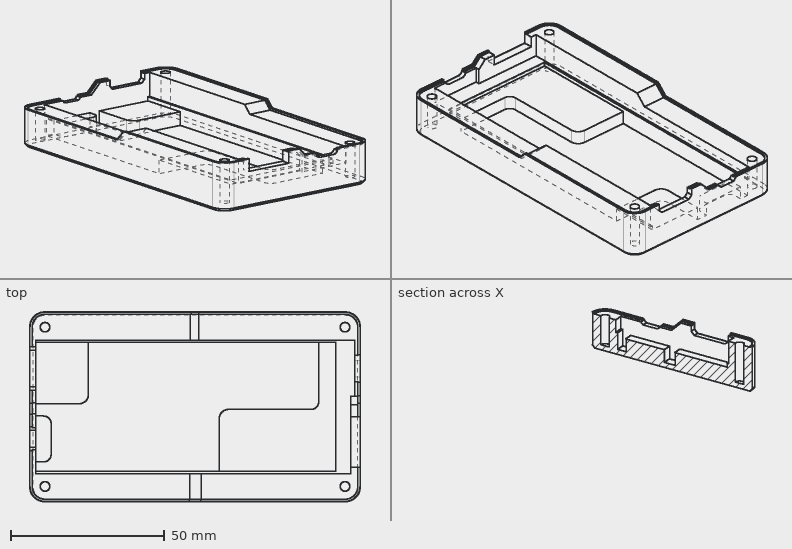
import cadquery as cq
import math

LENGTH = 108.0
WIDTH = 62.0
HEIGHT = 16.54
CORNER_RADIUS = 5.0
BOTTOM_CHAMFER = 1.0
HALF_LENGTH = LENGTH / 2
HALF_WIDTH = WIDTH / 2

FRONT_LEFT_TOP = HEIGHT - 3.6
BACK_RIGHT_TOP = HEIGHT - 2.5
FRONT_RAMP_FOOT = -1.8
LEFT_RAMP_FOOT = -2.5
BACK_RAMP_FOOT = 1.3
RIGHT_RAMP_FOOT = 3.6

RIM_WIDTH = 0.8
RIM_HEIGHT = 0.4
BACK_RIGHT_RIM_HEIGHT = 0.67
FRONT_LEFT_FOOT_SHIFT = RIM_HEIGHT * math.tan(math.radians(22.5))
BACK_RIGHT_FOOT_SHIFT = 0.1

FLOOR_TOP = 2.0
PAD_TOP = 6.6
LEDGE_TOP = 8.0
CAVITY_LEFT = -HALF_LENGTH + 2.0
CAVITY_RIGHT = HALF_LENGTH - 1.8
CAVITY_RIGHT_NARROW = HALF_LENGTH - 3.2
NARROWING_Y = RIGHT_RAMP_FOOT - BACK_RIGHT_FOOT_SHIFT
CAVITY_HALF_WIDTH = 21.8
WELL_RIGHT = 46.0
WELL_HALF_WIDTH = 21.1

PAD_CORNER_RADIUS = 3.05
TIGHT_PAD_CORNER_RADIUS = 2.5
LEFT_PAD_RIGHT = -34.8
LEFT_PAD_FRONT = 1.0
SMALL_PAD_RIGHT = -47.0
SMALL_PAD_FRONT = -18.0
SMALL_PAD_BACK = -3.0
L_PAD_LEFT = 7.9
L_PAD_STRIP_LEFT = 40.4
L_PAD_STEP_Y = -0.85

HOLE_DIAMETER = 3.1
HOLE_INSET = 5.0

OPENING_CHAMFER = 1.2
LEFT_BACK_OPENING = (5.4, 19.7, 13.0)
LEFT_FRONT_OPENING = (-14.4, -6.5, 11.65)
RIGHT_FRONT_OPENING = (-19.7, -3.3, 12.35)
RIGHT_BACK_OPENING = (8.0, 17.0, 12.2)
RIGHT_BACK_OPENING_RADIUS = 1.8

CUTTER_REACH = 8.0
CUTTER_TOP = HEIGHT + 1.0


def box(x_range, y_range, z_range):
    size = [end - start for start, end in (x_range, y_range, z_range)]
    return cq.Workplane("XY").box(*size, centered=False).translate((x_range[0], y_range[0], z_range[0]))


def outer_block(inset):
    return (
        cq.Workplane("XY")
        .rect(LENGTH - 2 * inset, WIDTH - 2 * inset)
        .extrude(HEIGHT)
        .edges("|Z")
        .fillet(CORNER_RADIUS - inset)
    )


def ramp_outline(workplane, far_end, foot, low_top, high_top):
    """Space above a lowered edge running from far_end to the ramp's foot, then up the ramp at 45 degrees."""
    slope_direction = math.copysign(1, foot - far_end)
    head = foot + slope_direction * (high_top - low_top)
    return workplane.polyline(
        [(far_end, low_top), (foot, low_top), (head, high_top), (head, CUTTER_TOP), (far_end, CUTTER_TOP)]
    ).close()


def side_wall_step(side, foot, low_top, high_top):
    """Lowering of the front (side -1) or back (side +1) wall."""
    plane = cq.Workplane("XZ", origin=(0, side * HALF_WIDTH, 0))
    depth = HALF_WIDTH - WELL_HALF_WIDTH
    return ramp_outline(plane, side * HALF_LENGTH, foot, low_top, high_top).extrude(side * depth)


def end_wall_step(side, foot, low_top, high_top):
    """Lowering of the left (side -1) or right (side +1) wall."""
    plane = cq.Workplane("YZ", origin=(side * HALF_LENGTH, 0, 0))
    return ramp_outline(plane, side * HALF_WIDTH, foot, low_top, high_top).extrude(-side * CUTTER_REACH)


def lowered_quarters(high_top, front_left, back_right):
    """Space above a stepped surface; each lowered quarter is (top, first ramp foot, second ramp foot)."""
    front_left_top, front_foot, left_foot = front_left
    back_right_top, back_foot, right_foot = back_right
    return (
        side_wall_step(-1, front_foot, front_left_top, high_top)
        .union(end_wall_step(-1, left_foot, front_left_top, high_top))
        .union(side_wall_step(1, back_foot, back_right_top, high_top))
        .union(end_wall_step(1, right_foot, back_right_top, high_top))
    )


def space_above_rim():
    return lowered_quarters(
        HEIGHT,
        (FRONT_LEFT_TOP, FRONT_RAMP_FOOT, LEFT_RAMP_FOOT),
        (BACK_RIGHT_TOP, BACK_RAMP_FOOT, RIGHT_RAMP_FOOT),
    )


def rim_recess():
    """Space inside the raised rim."""
    high_top = HEIGHT - RIM_HEIGHT
    top_layer = box((-HALF_LENGTH, HALF_LENGTH), (-HALF_WIDTH, HALF_WIDTH), (high_top, HEIGHT))
    front_left = (
        FRONT_LEFT_TOP - RIM_HEIGHT,
        FRONT_RAMP_FOOT + FRONT_LEFT_FOOT_SHIFT,
        LEFT_RAMP_FOOT + FRONT_LEFT_FOOT_SHIFT,
    )
    back_right = (
        BACK_RIGHT_TOP - BACK_RIGHT_RIM_HEIGHT,
        BACK_RAMP_FOOT - BACK_RIGHT_FOOT_SHIFT,
        RIGHT_RAMP_FOOT - BACK_RIGHT_FOOT_SHIFT,
    )
    lowered = lowered_quarters(high_top, front_left, back_right)
    return lowered.union(top_layer).intersect(outer_block(RIM_WIDTH))


def cavity():
    upper = (
        cq.Workplane("XY", origin=(0, 0, LEDGE_TOP))
        .polyline(
            [
                (CAVITY_LEFT, -CAVITY_HALF_WIDTH),
                (CAVITY_RIGHT_NARROW, -CAVITY_HALF_WIDTH),
                (CAVITY_RIGHT_NARROW, NARROWING_Y),
                (CAVITY_RIGHT, NARROWING_Y),
                (CAVITY_RIGHT, CAVITY_HALF_WIDTH),
                (CAVITY_LEFT, CAVITY_HALF_WIDTH),
            ]
        )
        .close()
        .extrude(HEIGHT - LEDGE_TOP)
    )
    well = box((CAVITY_LEFT, WELL_RIGHT), (-WELL_HALF_WIDTH, WELL_HALF_WIDTH), (FLOOR_TOP, LEDGE_TOP))
    return upper.union(well)


def pads():
    heights = (FLOOR_TOP, PAD_TOP)
    mid_height = (FLOOR_TOP + PAD_TOP) / 2
    left_pad = (
        box((CAVITY_LEFT, LEFT_PAD_RIGHT), (LEFT_PAD_FRONT, WELL_HALF_WIDTH), heights)
        .edges("|Z and >X and <Y")
        .fillet(PAD_CORNER_RADIUS)
    )
    small_pad = (
        box((CAVITY_LEFT, SMALL_PAD_RIGHT), (SMALL_PAD_FRONT, SMALL_PAD_BACK), heights)
        .edges("|Z and >X")
        .fillet(TIGHT_PAD_CORNER_RADIUS)
    )
    l_pad = (
        box((L_PAD_LEFT, WELL_RIGHT), (-WELL_HALF_WIDTH, L_PAD_STEP_Y), heights)
        .union(box((L_PAD_STRIP_LEFT, WELL_RIGHT), (-WELL_HALF_WIDTH, WELL_HALF_WIDTH), heights))
        .edges(cq.selectors.NearestToPointSelector((L_PAD_STRIP_LEFT, L_PAD_STEP_Y, mid_height)))
        .fillet(TIGHT_PAD_CORNER_RADIUS)
        .edges(cq.selectors.NearestToPointSelector((L_PAD_LEFT, L_PAD_STEP_Y, mid_height)))
        .fillet(PAD_CORNER_RADIUS)
    )
    return left_pad.union(small_pad).union(l_pad)


def wall_opening(side, opening):
    """Square opening through the left (side -1) or right (side +1) wall."""
    front, back, floor = opening
    x_range = sorted((side * HALF_LENGTH, side * (HALF_LENGTH - CUTTER_REACH)))
    return box(x_range, (front, back), (floor, HEIGHT))


def screw_holes():
    return (
        cq.Workplane("XY", origin=(0, 0, FLOOR_TOP))
        .rect(LENGTH - 2 * HOLE_INSET, WIDTH - 2 * HOLE_INSET, forConstruction=True)
        .vertices()
        .circle(HOLE_DIAMETER / 2)
        .extrude(HEIGHT - FLOOR_TOP)
    )


body = outer_block(0).faces("<Z").chamfer(BOTTOM_CHAMFER)
body = body.cut(space_above_rim()).cut(rim_recess())
body = body.cut(cavity()).union(pads())

for left_opening in (LEFT_BACK_OPENING, LEFT_FRONT_OPENING):
    body = body.cut(wall_opening(-1, left_opening).edges("|X and <Z").chamfer(OPENING_CHAMFER))

body = body.cut(wall_opening(1, RIGHT_FRONT_OPENING))
body = body.cut(
    wall_opening(1, RIGHT_BACK_OPENING).edges("|X and <Z").fillet(RIGHT_BACK_OPENING_RADIUS)
)

result = body.cut(screw_holes())